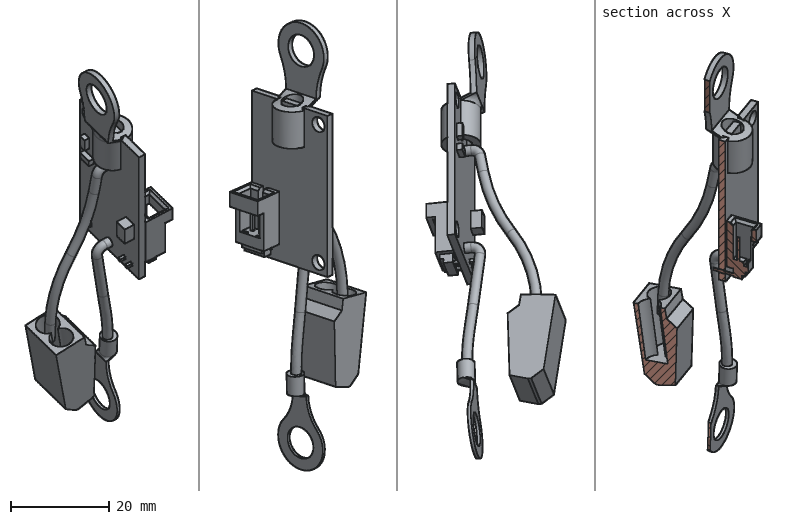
import cadquery as cq
import math

OVERALL_LENGTH = 98.6

BOARD_WIDTH = 20.3
BOARD_HEIGHT = 35.6
BOARD_THICK = 1.6
MOUNT_HOLE_R = 3.3 / 2
MOUNT_HOLE_X = -7.7
MOUNT_HOLE_INSET = 2.6
LUG_SLOT_WIDTH = 1.3
LUG_SLOT_X = 2.8
LUG_SLOT_OVERRUN = 0.6
CHIPS = [
    (-8.5, 24.1, 1.6, 3.1, 1.2),
    (-8.5, 20.8, 3.1, 1.5, 1.2),
    (5.7, 10.4, 2.8, 4.1, 2.4),
]

CONN_X = 6.3
CONN_WIDTH = 7.5
CONN_STANDOFF = 0.2
CONN_BOTTOM = 3.8
CONN_TOP = 15.5
CONN_BACK = 6.7
FLANGE_BACK = 8.6
FLANGE_HEIGHT = 3.3
CAVITY_WIDTH = 5.3
CAVITY_FRONT = 3.4
CAVITY_BACK = 7.4
CAVITY_FLOOR = 6.4
LEAD_IN = 0.6
KEYWAY_WIDTH = 1.2
FLOOR_SLOT_LENGTH = 1.4
FLOOR_SLOT_WIDTH = 0.6
FLOOR_SLOT_DEPTH = 1.0
FLOOR_SLOT_Y = 6.0
TAIL_FRONT = 3.3
TAIL_BACK = 6.0
TAIL_STEP_BACK = 5.2
TAIL_BOTTOM = 1.8
TAIL_STEP_Z = 2.8
PIN_SIZE = 0.7
PIN_PITCH = 2.4
PIN_Y = 4.4
PIN_Z = 2.4
PIN_TOP = 12.2
PIN_STICK_OUT = 1.3

BIG_BARREL_R = 4.0
BIG_BORE_R = 2.3
BIG_BARREL_LENGTH = 8.1
BIG_WEDGE = 1.5
BIG_PLATE = 1.3
BIG_RING_R = 6.1
BIG_EYE_R = 3.45
BIG_RING_CENTRE = 19.0
BIG_MOUTH_Z = 27.0

WIRE_R = 1.1
STUB_LENGTH = 1.4
BEND_R = 1.8
LOWER_WIRE_Z = 2.6
LOWER_WIRE_TURN = 97
LOWER_WIRE_STRAIGHT = 11.9
UPPER_WIRE_Z = 25.4
UPPER_WIRE_TURN = 80
UPPER_WIRE_STRAIGHT = 4.2
UPPER_WIRE_MIDDLE = (-9.7, 5.0)
UPPER_WIRE_MOUTH = (-14.9, -11.5)
UPPER_WIRE_IN_SOCKET = 4.9

SMALL_BARREL_R = 3.6 / 2
SMALL_BARREL_LENGTH = 4.3
SMALL_WEDGE = 0.8
SMALL_PLATE = 0.7
SMALL_RING_R = 6.0
SMALL_EYE_R = 3.45
SMALL_RING_CENTRE = 15.9
SMALL_BORE_SHIFT = 0.3
SMALL_TILT = math.radians(1.6)
SMALL_MOUTH_Y = -0.2
SMALL_DROP = (
    (SMALL_RING_CENTRE + SMALL_RING_R) * math.cos(SMALL_TILT)
    - (SMALL_BARREL_R - SMALL_PLATE) * math.sin(SMALL_TILT)
)
SMALL_MOUTH_Z = BIG_MOUTH_Z + BIG_RING_CENTRE + BIG_RING_R - OVERALL_LENGTH + SMALL_DROP

TERMINAL_LEFT = -2.6
TERMINAL_WIDTH = 10.5
TOP_BACK = (-12.1, -11.2)
TOP_FRONT = (-19.3, -12.1)
TERMINAL_OUTLINE = [
    TOP_BACK,
    TOP_FRONT,
    (-16.9, -29.4),
    (-14.3, -31.2),
    (-13.6, -31.2),
    (-9.8, -30.0),
    (-9.4, -15.4),
    (-11.7, -13.7),
]
SOCKET_R = 2.5
SOCKET_PITCH = 4.6
SOCKET_DEPTH = 13.8
SOCKET_X = 2.6


def box(x0, x1, y0, y1, z0, z1):
    return cq.Workplane("XY").box(x1 - x0, y1 - y0, z1 - z0, centered=False).translate((x0, y0, z0))


def rod(path, radius, start):
    """Round rod swept along a path that leaves its start in the -Y direction."""
    return cq.Workplane("XZ", origin=start).circle(radius).sweep(path)


def make_lug(barrel_r, barrel_length, wedge, plate, ring_r, eye_r, ring_centre):
    """Ring lug without bore: barrel mouth at the origin, ring towards +Z, plate on the -Y side."""
    plate_z = barrel_length + wedge
    front = -barrel_r
    barrel = cq.Workplane("XY").circle(barrel_r).extrude(barrel_length)
    transition = (
        cq.Workplane("XY", origin=(0, 0, barrel_length))
        .circle(barrel_r)
        .workplane(offset=wedge)
        .center(0, front + plate / 2)
        .rect(2 * barrel_r, plate)
        .loft()
    )
    neck_length = ring_centre - plate_z
    neck_r = (barrel_r**2 + neck_length**2 - ring_r**2) / (2 * (ring_r - barrel_r))
    share = ring_r / (ring_r + neck_r)
    tangent_x = share * (barrel_r + neck_r)
    tangent_z = ring_centre - share * neck_length
    half_sweep = math.asin((tangent_z - plate_z) / neck_r) / 2
    middle_x = barrel_r + neck_r * (1 - math.cos(half_sweep))
    middle_z = plate_z + neck_r * math.sin(half_sweep)
    blade = (
        cq.Workplane("XZ", origin=(0, front + plate, 0))
        .moveTo(barrel_r, plate_z)
        .threePointArc((middle_x, middle_z), (tangent_x, tangent_z))
        .threePointArc((0, ring_centre + ring_r), (-tangent_x, tangent_z))
        .threePointArc((-middle_x, middle_z), (-barrel_r, plate_z))
        .close()
        .extrude(plate)
    )
    eye = cq.Workplane("XZ", origin=(0, front + plate, ring_centre)).circle(eye_r).extrude(plate)
    return barrel.union(transition).union(blade).cut(eye)


def make_board():
    board = box(-BOARD_WIDTH / 2, BOARD_WIDTH / 2, 0, BOARD_THICK, 0, BOARD_HEIGHT)
    for z in (MOUNT_HOLE_INSET, BOARD_HEIGHT - MOUNT_HOLE_INSET):
        hole = cq.Workplane("XZ", origin=(MOUNT_HOLE_X, 0, z)).circle(MOUNT_HOLE_R).extrude(-BOARD_THICK)
        board = board.cut(hole)
    half_slot = LUG_SLOT_WIDTH / 2
    slot_end = BIG_MOUTH_Z - LUG_SLOT_OVERRUN + half_slot
    for x in (-LUG_SLOT_X, LUG_SLOT_X):
        slot = box(x - half_slot, x + half_slot, 0, BOARD_THICK, slot_end, BOARD_HEIGHT)
        slot_round = cq.Workplane("XZ", origin=(x, 0, slot_end)).circle(half_slot).extrude(-BOARD_THICK)
        board = board.cut(slot).cut(slot_round)
    for x, z, width, height, thick in CHIPS:
        board = board.union(box(x, x + width, -thick, 0, z, z + height))
    return board


def make_pins():
    """Two bent pins: an upright leg in the connector and a leg out through the board."""
    half = PIN_SIZE / 2
    pins = cq.Workplane("XY")
    for x in (CONN_X - PIN_PITCH / 2, CONN_X + PIN_PITCH / 2):
        upright = box(x - half, x + half, PIN_Y - half, PIN_Y + half, PIN_Z - half, PIN_TOP)
        through = box(x - half, x + half, -PIN_STICK_OUT, PIN_Y + half, PIN_Z - half, PIN_Z + half)
        pins = pins.union(upright).union(through)
    return pins


def make_connector(pins):
    left = CONN_X - CONN_WIDTH / 2
    right = CONN_X + CONN_WIDTH / 2
    front = BOARD_THICK + CONN_STANDOFF
    body = box(left, right, front, CONN_BACK, CONN_BOTTOM, CONN_TOP)
    body = body.union(box(left, right, front, FLANGE_BACK, CONN_TOP - FLANGE_HEIGHT, CONN_TOP))

    cavity_left = CONN_X - CAVITY_WIDTH / 2
    cavity_right = CONN_X + CAVITY_WIDTH / 2
    body = body.cut(box(cavity_left, cavity_right, CAVITY_FRONT, CAVITY_BACK, CAVITY_FLOOR, CONN_TOP))
    cavity_depth = CAVITY_BACK - CAVITY_FRONT
    lead_in = (
        cq.Workplane("XY", origin=(CONN_X, CAVITY_FRONT + cavity_depth / 2, CONN_TOP - LEAD_IN))
        .rect(CAVITY_WIDTH, cavity_depth)
        .workplane(offset=LEAD_IN)
        .rect(CAVITY_WIDTH + 2 * LEAD_IN, cavity_depth + 2 * LEAD_IN)
        .loft()
    )
    body = body.cut(lead_in)
    half_key = KEYWAY_WIDTH / 2
    body = body.cut(box(CONN_X - half_key, CONN_X + half_key, front, CAVITY_FRONT, CAVITY_FLOOR, CONN_TOP))

    slot_front = FLOOR_SLOT_Y - FLOOR_SLOT_WIDTH / 2
    slot_back = FLOOR_SLOT_Y + FLOOR_SLOT_WIDTH / 2
    for slot_left in (cavity_left, cavity_right - FLOOR_SLOT_LENGTH):
        slot_right = slot_left + FLOOR_SLOT_LENGTH
        slot_bottom = CAVITY_FLOOR - FLOOR_SLOT_DEPTH
        body = body.cut(box(slot_left, slot_right, slot_front, slot_back, slot_bottom, CAVITY_FLOOR))

    tail = box(cavity_left, cavity_right, TAIL_FRONT, TAIL_BACK, TAIL_STEP_Z, CONN_BOTTOM)
    tail_step = box(cavity_left, cavity_right, TAIL_FRONT, TAIL_STEP_BACK, TAIL_BOTTOM, TAIL_STEP_Z)
    return body.union(tail).union(tail_step).union(pins)


def make_big_lug(board):
    lug = make_lug(
        BIG_BARREL_R, BIG_BARREL_LENGTH, BIG_WEDGE, BIG_PLATE, BIG_RING_R, BIG_EYE_R, BIG_RING_CENTRE
    )
    lug = lug.cut(cq.Workplane("XY").circle(BIG_BORE_R).extrude(BIG_BARREL_LENGTH + BIG_WEDGE))
    lug = lug.translate((0, BOARD_THICK / 2, BIG_MOUTH_Z))
    return lug.cut(board)


def small_lug_point(y, z):
    """Place a point of the small lug's own y-z plane (z towards the ring) in the assembly."""
    return (
        0,
        SMALL_MOUTH_Y + y * math.cos(SMALL_TILT) - z * math.sin(SMALL_TILT),
        SMALL_MOUTH_Z - y * math.sin(SMALL_TILT) - z * math.cos(SMALL_TILT),
    )


def make_small_lug():
    lug = make_lug(
        SMALL_BARREL_R, SMALL_BARREL_LENGTH, SMALL_WEDGE, SMALL_PLATE,
        SMALL_RING_R, SMALL_EYE_R, SMALL_RING_CENTRE,
    )
    bore = cq.Workplane("XY", origin=(0, -SMALL_BORE_SHIFT, 0)).circle(WIRE_R).extrude(SMALL_BARREL_LENGTH)
    lug = lug.cut(bore).mirror("XY").rotate((0, 0, 0), (1, 0, 0), -math.degrees(SMALL_TILT))
    return lug.translate((0, SMALL_MOUTH_Y, SMALL_MOUTH_Z))


def wire_start(z, turn, straight):
    """Stub out of the board, bend and straight stretch, with the end point and end direction."""
    angle = math.radians(turn)

    def on_bend(a):
        return cq.Vector(0, -STUB_LENGTH - BEND_R * math.sin(a), z - BEND_R * (1 - math.cos(a)))

    bend_start = on_bend(0)
    bend_end = on_bend(angle)
    stub = cq.Edge.makeLine(cq.Vector(0, 0, z), bend_start)
    bend = cq.Edge.makeThreePointArc(bend_start, on_bend(angle / 2), bend_end)
    direction = cq.Vector(0, -math.cos(angle), -math.sin(angle))
    end = bend_end + direction * straight
    return [stub, bend, cq.Edge.makeLine(bend_end, end)], end, direction


def make_lower_wire():
    edges, end, direction = wire_start(LOWER_WIRE_Z, LOWER_WIRE_TURN, LOWER_WIRE_STRAIGHT)
    mouth = cq.Vector(*small_lug_point(-SMALL_BORE_SHIFT, 0))
    tip = cq.Vector(*small_lug_point(-SMALL_BORE_SHIFT, SMALL_BARREL_LENGTH))
    edges.append(cq.Edge.makeSpline([end, mouth], tangents=[direction, tip - mouth]))
    edges.append(cq.Edge.makeLine(mouth, tip))
    return rod(cq.Wire.assembleEdges(edges), WIRE_R, (0, 0, LOWER_WIRE_Z))


def make_upper_wire():
    edges, end, direction = wire_start(UPPER_WIRE_Z, UPPER_WIRE_TURN, UPPER_WIRE_STRAIGHT)
    for y, z in (UPPER_WIRE_MIDDLE, UPPER_WIRE_MOUTH):
        arc = cq.Edge.makeTangentArc(end, direction, cq.Vector(0, y, z))
        edges.append(arc)
        end = arc.endPoint()
        direction = arc.tangentAt(1)
    edges.append(cq.Edge.makeLine(end, end + direction * UPPER_WIRE_IN_SOCKET))
    return rod(cq.Wire.assembleEdges(edges), WIRE_R, (0, 0, UPPER_WIRE_Z))


def make_terminal():
    body = (
        cq.Workplane("YZ", origin=(TERMINAL_LEFT, 0, 0))
        .polyline(TERMINAL_OUTLINE)
        .close()
        .extrude(TERMINAL_WIDTH)
    )
    run = TOP_BACK[0] - TOP_FRONT[0]
    rise = TOP_BACK[1] - TOP_FRONT[1]
    middle = ((TOP_BACK[0] + TOP_FRONT[0]) / 2, (TOP_BACK[1] + TOP_FRONT[1]) / 2)
    inward = cq.Vector(0, rise, -run)
    for x in (SOCKET_X - SOCKET_PITCH / 2, SOCKET_X + SOCKET_PITCH / 2):
        socket = cq.Solid.makeCylinder(SOCKET_R, SOCKET_DEPTH, cq.Vector(x, *middle), inward)
        body = body.cut(cq.Workplane(socket))
    return body


pins = make_pins()
connector = make_connector(pins)
board = make_board().cut(pins)
big_lug = make_big_lug(board)
small_lug = make_small_lug()
lower_wire = make_lower_wire()
upper_wire = make_upper_wire()
terminal = make_terminal()

result = cq.Compound.makeCompound([
    board.val(),
    connector.val(),
    big_lug.val(),
    small_lug.val(),
    lower_wire.val(),
    upper_wire.val(),
    terminal.val(),
])